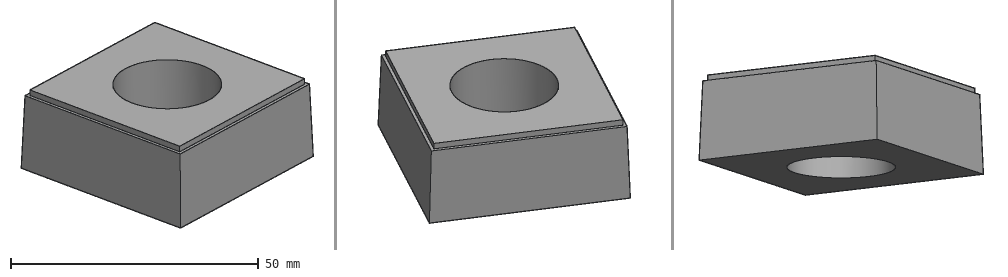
import cadquery as cq

base_side = 42.0
shoulder_side = 40.9
lip_side = 39.5
total_height = 17.7
lip_height = 1.25
bore_diameter = 22.0

body_height = total_height - lip_height

body = (
    cq.Workplane("XY")
    .rect(base_side, base_side)
    .workplane(offset=body_height)
    .rect(shoulder_side, shoulder_side)
    .loft(ruled=True, combine=True)
)

lip = (
    cq.Workplane("XY")
    .workplane(offset=body_height)
    .rect(lip_side, lip_side)
    .extrude(lip_height)
)

bore = cq.Workplane("XY").circle(bore_diameter / 2).extrude(total_height)

result = body.union(lip).cut(bore)